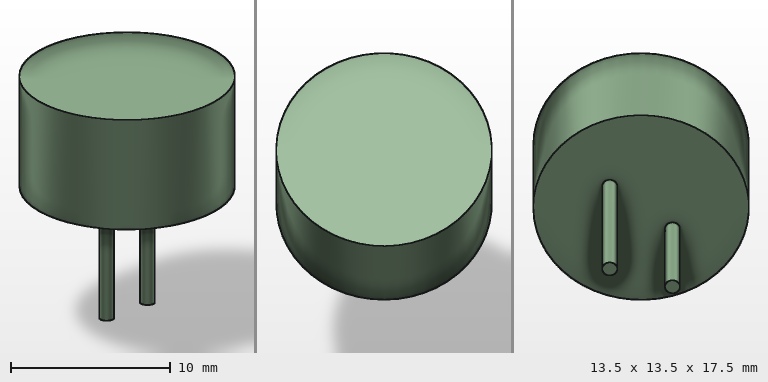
import cadquery as cq

total_height = 17.5
can_diameter = 13.5
can_height = 7.5

lead_diameter = 0.95
lead_spacing = 5.0
long_lead_length = total_height - can_height
short_lead_length = 7.0


def make_can():
    """Plain round can standing on the XY plane."""
    return cq.Workplane("XY").circle(can_diameter / 2).extrude(can_height)


def make_lead(x, length):
    """Round lead hanging down from the underside of the can."""
    return cq.Workplane("XY").center(x, 0).circle(lead_diameter / 2).extrude(-length)


can = make_can()

leads = []
for x, length in [
    (-lead_spacing / 2, long_lead_length),
    (lead_spacing / 2, short_lead_length),
]:
    leads.append(make_lead(x, length).val())

result = cq.Compound.makeCompound([can.val(), *leads])